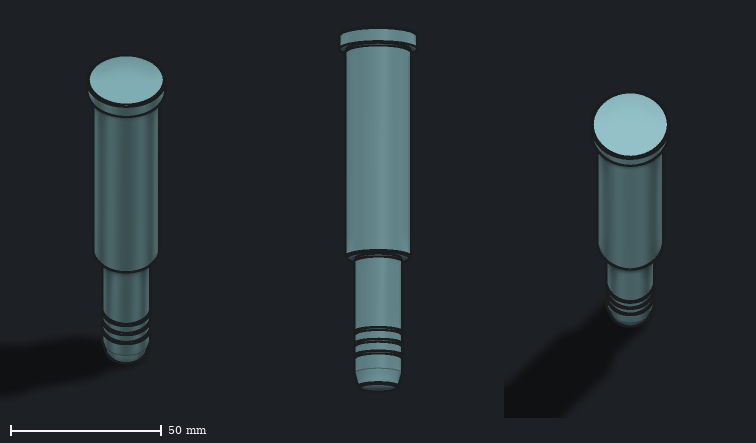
import cadquery as cq
import math

total_length = 120.0
head_thickness = 5.0
body_bottom = 44.0
neck_height = 1.0
taper_height = 5.0

head_radius = 13.0
body_radius = 11.0
pilot_radius = 8.0
neck_depth = 0.5

taper_angle = 15.0
edge_chamfer = 0.5

groove_height = 1.0
groove_depth = 0.5

ring_count = 3
ring_pitch = 4.0
lowest_ring_bottom = 10.0

head_bottom = total_length - head_thickness
relief_bottom = head_bottom - groove_height
neck_bottom = body_bottom - neck_height
neck_radius = pilot_radius - neck_depth
taper_end_radius = pilot_radius - (taper_height - edge_chamfer) * math.tan(math.radians(taper_angle))


def revolve_about_z(section):
    """Turn a closed half section in the XZ plane into a solid of revolution."""
    return section.revolve(360, (0, 0, 0), (0, 1, 0))


def make_pin():
    """Stepped pin with tapered tip, neck, body and head, without its grooves."""
    section = (
        cq.Workplane("XZ")
        .moveTo(0, 0)
        .lineTo(taper_end_radius - edge_chamfer, 0)
        .lineTo(taper_end_radius, edge_chamfer)
        .lineTo(pilot_radius, taper_height)
        .lineTo(pilot_radius, neck_bottom)
        .lineTo(neck_radius, neck_bottom)
        .lineTo(neck_radius, body_bottom)
        .lineTo(body_radius - edge_chamfer, body_bottom)
        .lineTo(body_radius, body_bottom + edge_chamfer)
        .lineTo(body_radius, head_bottom)
        .lineTo(head_radius, head_bottom)
        .lineTo(head_radius, total_length - edge_chamfer)
        .lineTo(head_radius - edge_chamfer, total_length)
        .lineTo(0, total_length)
        .close()
    )
    return revolve_about_z(section)


def make_groove(outer_radius, bottom):
    """Ring cutter for a groove whose lower wall is a quarter arc running into the floor."""
    floor_radius = outer_radius - groove_depth
    top = bottom + groove_height
    arc_offset = groove_depth * math.sin(math.radians(45))
    arc_middle = (outer_radius - arc_offset, bottom + groove_depth - arc_offset)
    section = (
        cq.Workplane("XZ")
        .moveTo(outer_radius, bottom)
        .threePointArc(arc_middle, (floor_radius, bottom + groove_depth))
        .lineTo(floor_radius, top)
        .lineTo(outer_radius, top)
        .close()
    )
    return revolve_about_z(section)


result = make_pin()

result = result.cut(make_groove(body_radius, relief_bottom))

for ring_index in range(ring_count):
    ring_bottom = lowest_ring_bottom + ring_index * ring_pitch
    result = result.cut(make_groove(pilot_radius, ring_bottom))